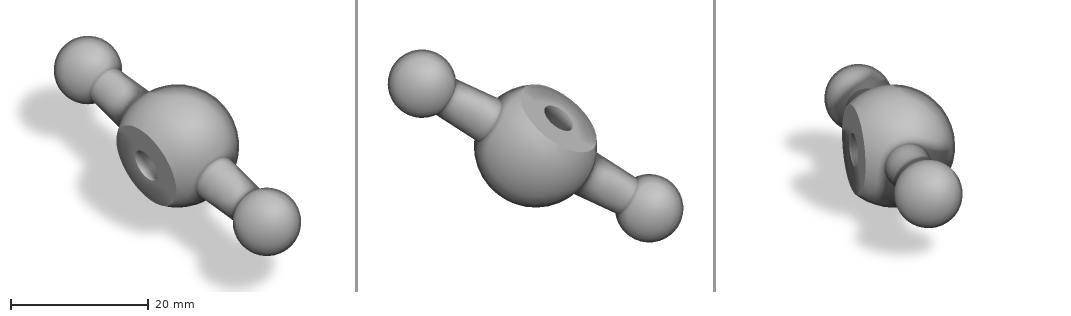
import cadquery as cq
import math

overall_length = 50.0
hub_diameter = 18.0
ball_diameter = 10.0
arm_diameter_at_hub = 7.0
arm_diameter_at_ball = 6.0
flat_offset = 6.0
hole_diameter = 5.0
hole_depth = 10.0
drill_tip_angle = 120.0

hub_radius = hub_diameter / 2
ball_radius = ball_diameter / 2
ball_offset = overall_length / 2 - ball_radius


def distance_to_circle(sphere_radius, circle_diameter):
    """Distance from a sphere's centre to a circle of given diameter on its surface."""
    return math.sqrt(sphere_radius**2 - (circle_diameter / 2) ** 2)


def make_handle():
    """Hub, tapered arms and end balls, turned about the X axis."""
    hub_joint = distance_to_circle(hub_radius, arm_diameter_at_hub)
    ball_joint = ball_offset - distance_to_circle(ball_radius, arm_diameter_at_ball)
    hub_arm_radius = arm_diameter_at_hub / 2
    ball_arm_radius = arm_diameter_at_ball / 2
    end = overall_length / 2
    profile = (
        cq.Workplane("XY")
        .moveTo(-end, 0)
        .threePointArc((-ball_offset, ball_radius), (-ball_joint, ball_arm_radius))
        .lineTo(-hub_joint, hub_arm_radius)
        .threePointArc((0, hub_radius), (hub_joint, hub_arm_radius))
        .lineTo(ball_joint, ball_arm_radius)
        .threePointArc((ball_offset, ball_radius), (end, 0))
        .close()
    )
    return profile.revolve(360, (0, 0, 0), (1, 0, 0))


def make_flat_cutter():
    """Block that removes the hub beyond its flat face."""
    cap_height = hub_radius - flat_offset
    return cq.Workplane("XY").box(hub_diameter, cap_height, hub_diameter).translate(
        (0, -flat_offset - cap_height / 2, 0)
    )


def make_hole():
    """Blind drilled hole with a conical bottom, entering through the flat face."""
    hole_radius = hole_diameter / 2
    tip_length = hole_radius / math.tan(math.radians(drill_tip_angle / 2))
    hole_end = hole_depth - flat_offset
    return (
        cq.Workplane("XY")
        .moveTo(0, -flat_offset)
        .lineTo(hole_radius, -flat_offset)
        .lineTo(hole_radius, hole_end)
        .lineTo(0, hole_end + tip_length)
        .close()
        .revolve(360, (0, 0, 0), (0, 1, 0))
    )


result = make_handle().cut(make_flat_cutter()).cut(make_hole())